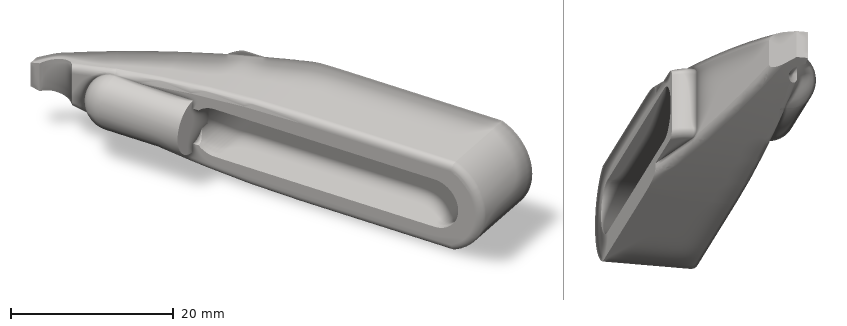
import cadquery as cq
import math

length = 64.8
width = 12.6
depth = 12.05
tip_width = 3.45
side_straight_start = 38.4
end_radius = 6.8
edge_radius = 1.0

tip_depth = 1.4
slope_start_x = 3.5
slope_start_y = 4.1
slope_end_x = 31.5

groove_start = 1.3
groove_end = 5.9
groove_depth = 1.55

slot_width = 6.85
slot_left = 23.0

block_left = 21.3
block_width = 9.15
block_nose_radius = 3.9
block_nose_start_y = 9.45
block_base_y = 5.2
block_right = 38.9

pin_radius = 3.7
pin_tip_x = 8.35
pin_end_x = 23.3
bore_radius = 2.5

half_width = width / 2
end_centre_x = length - end_radius
end_arc_start = end_centre_x + math.sqrt(end_radius**2 - half_width**2)
side_drop = half_width - tip_width / 2
side_radius = (side_straight_start**2 + side_drop**2) / (2 * side_drop)
side_mid_x = side_straight_start / 2
side_mid_z = half_width - side_radius + math.sqrt(side_radius**2 - side_mid_x**2)


def extrude_along_y(sketch, start_y, end_y):
    """Extrude an XZ sketch made at Y = 0 so that it fills start_y to end_y."""
    return sketch.extrude(-(end_y - start_y)).translate((0, start_y, 0))


def make_blank():
    """Full-depth housing with curved flanks and a round end."""
    outline = (
        cq.Workplane("XZ")
        .moveTo(0, -tip_width / 2)
        .threePointArc((side_mid_x, -side_mid_z), (side_straight_start, -half_width))
        .lineTo(end_arc_start, -half_width)
        .threePointArc((length, 0), (end_arc_start, half_width))
        .lineTo(side_straight_start, half_width)
        .threePointArc((side_mid_x, side_mid_z), (0, tip_width / 2))
        .close()
    )
    return extrude_along_y(outline, 0, depth)


def make_back_cutter():
    """Material above the tip facet and the sloped back."""
    return (
        cq.Workplane("XY")
        .polyline([
            (0, tip_depth),
            (slope_start_x, slope_start_y),
            (slope_end_x, depth),
            (0, depth),
        ])
        .close()
        .extrude(half_width, both=True)
    )


def make_groove_cutter():
    """Circular-arc groove running along Z."""
    return (
        cq.Workplane("XY")
        .moveTo(groove_start, 0)
        .threePointArc(((groove_start + groove_end) / 2, groove_depth), (groove_end, 0))
        .close()
        .extrude(half_width, both=True)
    )


def make_block():
    """Round-nosed block with rounded edges around its nose and sides."""
    nose_rise = depth - block_nose_start_y
    nose_mid_rise = nose_rise / 2

    def nose_x(rise):
        return block_left + block_nose_radius - math.sqrt(block_nose_radius**2 - rise**2)

    block = (
        cq.Workplane("XY")
        .moveTo(block_left, block_base_y)
        .lineTo(block_left, block_nose_start_y)
        .threePointArc(
            (nose_x(nose_mid_rise), block_nose_start_y + nose_mid_rise),
            (nose_x(nose_rise), depth),
        )
        .lineTo(block_right, depth)
        .lineTo(block_right, block_base_y)
        .close()
        .extrude(block_width / 2, both=True)
    )
    nose_region = cq.selectors.BoxSelector(
        (block_left - edge_radius, block_base_y, -width),
        (block_left + edge_radius, depth - edge_radius / 2, width),
    )
    return block.edges("not(#Z)").edges("not(|Z)").edges(nose_region).fillet(edge_radius)


def make_slot_cutter():
    """Round-ended slot through the full depth."""
    slot_right = end_centre_x + slot_width / 2
    slot = (
        cq.Workplane("XZ")
        .center((slot_left + slot_right) / 2, 0)
        .slot2D(slot_right - slot_left, slot_width)
    )
    return extrude_along_y(slot, 0, depth)


def make_pin():
    """Cylinder along X with a hemispherical tip, its axis on the housing underside."""
    shoulder_x = pin_tip_x + pin_radius
    nose_offset = pin_radius * math.sqrt(0.5)
    return (
        cq.Workplane("XY")
        .moveTo(pin_tip_x, 0)
        .threePointArc((shoulder_x - nose_offset, nose_offset), (shoulder_x, pin_radius))
        .lineTo(pin_end_x, pin_radius)
        .lineTo(pin_end_x, 0)
        .close()
        .revolve(360, (0, 0, 0), (1, 0, 0))
    )


def make_bore_cutter():
    """Bore from the pin end into the slot."""
    bore_end_x = slot_left + slot_width / 2
    return (
        cq.Workplane("YZ")
        .workplane(offset=pin_end_x)
        .circle(bore_radius)
        .extrude(bore_end_x - pin_end_x)
    )


def make_housing(pin):
    """Housing with its rounded edges, block, slot and pin pocket."""
    body = make_blank().cut(make_back_cutter()).cut(make_groove_cutter())

    slope_edges = cq.selectors.BoxSelector(
        (slope_start_x, slope_start_y, -width),
        (slope_end_x, depth - edge_radius, width),
    )
    body = body.edges(slope_edges).edges("not(|Z)").fillet(edge_radius)

    rim_edges = cq.selectors.BoxSelector(
        (groove_end + edge_radius, -edge_radius / 2, -width),
        (length + edge_radius, edge_radius / 2, width),
    )
    body = body.edges(rim_edges).fillet(edge_radius)

    body = body.union(make_block())
    return body.cut(make_slot_cutter()).cut(make_bore_cutter()).cut(pin)


pin = make_pin()
housing = make_housing(pin)

result = cq.Compound.makeCompound([housing.val(), pin.val()])